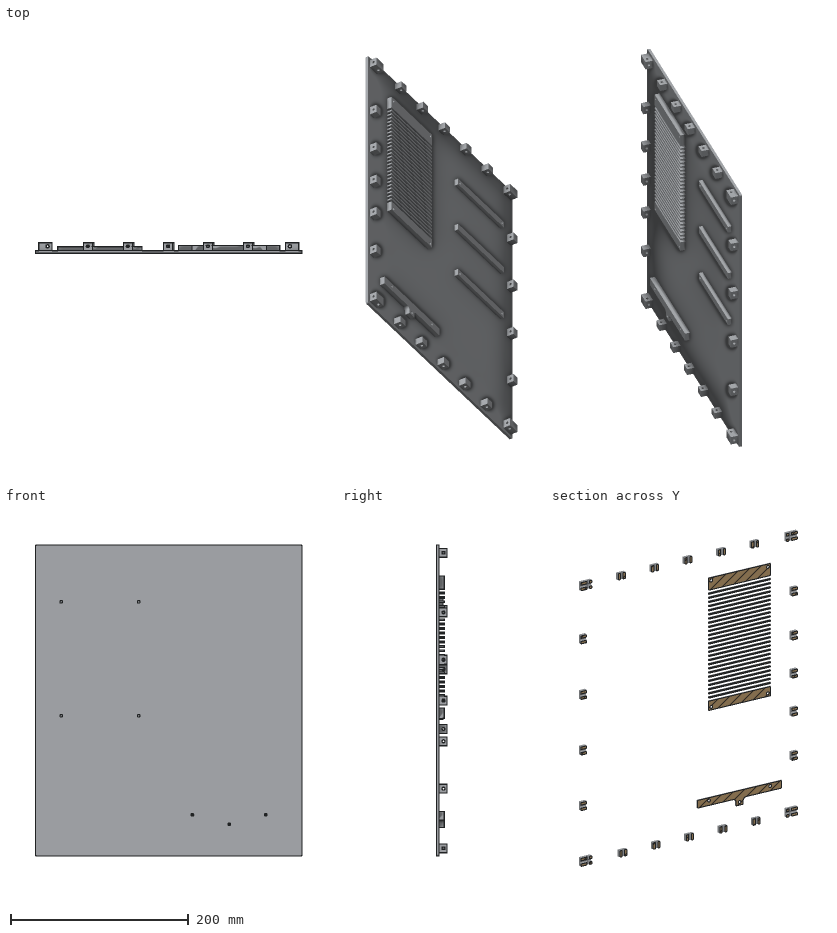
import cadquery as cq

panel_width = 300.0
panel_height = 350.0
overall_depth = 12.0
panel_thickness = 3.0
corner_radius = 2.0

block_rise = overall_depth - panel_thickness
block_width = 10.0
block_depth = 8.0
corner_block_length = 15.0
rim_margin = 4.0
block_hole_diameter = 3.0
block_hole_height = 5.0
block_hole_inset = block_width / 2
row_count = 5
row_length = 180.0
row_shift = 1.0
column_count = 4
column_length = 201.0
column_shift = 1.5
right_outer_block_z = 99.0
right_inner_pitch = 46.0

rail_length = 95.0
rail_width = 8.0
rail_rise = 4.5
rail_center_x = -77.5
rail_middle_z = 47.0
rail_pitch = 64.0

grille_width = 84.0
grille_top_z = 140.0
grille_bottom_z = -20.0
grille_center_x = 68.0
raised_rise = 6.0
grille_top_cap = 15.0
slot_count = 27
slot_height = 3.0
bar_height = 2.0

bracket_width = 114.0
bracket_top_z = -124.5
bracket_height = 9.8
tab_width = 10.0
tab_length = 8.5
tab_fillet = 4.0

screw_diameter = 3.0
screw_skin = 1.0
grille_skin = 1.45
pinhole_diameter = 1.0
screw_inset = 4.0
bracket_screw_spacing = 82.5

half_width = panel_width / 2
half_height = panel_height / 2
block_line_x = half_width - rim_margin
block_line_z = half_height - rim_margin


def evenly_spaced(length, count):
    """Positions spread evenly over a length centred on zero."""
    return [length * (index / (count - 1) - 0.5) for index in range(count)]


def raised_box(center_x, center_z, size_x, size_z, rise):
    """Box rising above the +Y face of the panel, sunk to its plain face so that the two fuse."""
    box = cq.Workplane("XY").box(size_x, panel_thickness + rise, size_z, centered=(True, False, True))
    return box.translate((center_x, 0, center_z))


def drill(center, direction, diameter, length):
    """Cylinder centred on a point, for cutting a hole along the given direction."""
    start = cq.Vector(*center) - cq.Vector(*direction) * (length / 2)
    return cq.Workplane(cq.Solid.makeCylinder(diameter / 2, length, start, cq.Vector(*direction)))


def drilled_block(center_x, center_z, size_x, size_z, holes):
    """Mounting block with through holes, each given as (x, z, direction)."""
    block = raised_box(center_x, center_z, size_x, size_z, block_rise)
    for x, z, direction in holes:
        center = (x, panel_thickness + block_hole_height, z)
        block = block.cut(drill(center, direction, block_hole_diameter, 2 * corner_block_length))
    return block


def corner_block(side_x, side_z):
    x = side_x * (block_line_x - corner_block_length / 2)
    z = side_z * (block_line_z - block_width / 2)
    hole_x = side_x * (block_line_x - corner_block_length + block_hole_inset)
    holes = [(hole_x, z, (0, 0, 1)), (x, z, (1, 0, 0))]
    return drilled_block(x, z, corner_block_length, block_width, holes)


def horizontal_edge_block(x, side_z):
    z = side_z * (block_line_z - block_depth / 2)
    return drilled_block(x, z, block_width, block_depth, [(x, z, (0, 0, 1))])


def vertical_edge_block(side_x, z):
    x = side_x * (block_line_x - block_depth / 2)
    return drilled_block(x, z, block_depth, block_width, [(x, z, (1, 0, 0))])


def rim_blocks():
    blocks = [corner_block(side_x, side_z) for side_x in (-1, 1) for side_z in (-1, 1)]

    for offset in evenly_spaced(row_length, row_count):
        blocks.append(horizontal_edge_block(offset - row_shift, 1))
        blocks.append(horizontal_edge_block(offset + row_shift, -1))

    for offset in evenly_spaced(column_length, column_count):
        blocks.append(vertical_edge_block(-1, offset + column_shift))

    inner = [step * right_inner_pitch for step in (-1, 0, 1)]
    for z in [-right_outer_block_z, *inner, right_outer_block_z]:
        blocks.append(vertical_edge_block(1, z))
    return blocks


def rails():
    return [
        raised_box(rail_center_x, rail_middle_z + step * rail_pitch, rail_length, rail_width, rail_rise)
        for step in (-1, 0, 1)
    ]


def grille():
    height = grille_top_z - grille_bottom_z
    body = raised_box(grille_center_x, grille_top_z - height / 2, grille_width, height, raised_rise)
    first_slot_z = grille_top_z - grille_top_cap - slot_height / 2
    for index in range(slot_count):
        z = first_slot_z - index * (slot_height + bar_height)
        slot = raised_box(grille_center_x, z, grille_width, slot_height, raised_rise)
        body = body.cut(slot)
    return body


def bracket():
    body_z = bracket_top_z - bracket_height / 2
    tab_height = bracket_height + tab_length
    tab_z = bracket_top_z - tab_height / 2
    body = raised_box(grille_center_x, body_z, bracket_width, bracket_height, raised_rise)
    tab = raised_box(grille_center_x, tab_z, tab_width, tab_height, raised_rise)
    corner_z = bracket_top_z - bracket_height
    inner_corners = cq.selectors.BoxSelector(
        (grille_center_x - tab_width, 0, corner_z - tab_length / 2),
        (grille_center_x + tab_width, overall_depth, corner_z + tab_length / 2),
    )
    return body.union(tab).edges("|Y").edges(inner_corners).fillet(tab_fillet)


def rail_screws():
    reach = rail_length / 2 - screw_inset
    rows = (rail_middle_z - rail_pitch, rail_middle_z + rail_pitch)
    return [(rail_center_x + side * reach, z) for side in (-1, 1) for z in rows]


def grille_screws():
    reach = grille_width / 2 - screw_inset
    rows = (grille_top_z - screw_inset, grille_bottom_z + screw_inset)
    return [(grille_center_x + side * reach, z) for side in (-1, 1) for z in rows]


def bracket_screws():
    bar_z = bracket_top_z - screw_inset
    tab_z = bracket_top_z - bracket_height - tab_length + screw_inset
    sides = [(grille_center_x + side * bracket_screw_spacing / 2, bar_z) for side in (-1, 1)]
    return [*sides, (grille_center_x, tab_z)]


def blind_hole(x, z, skin):
    """Hole open toward +Y, stopping short of the panel's plain face by the skin."""
    return drill((x, skin + overall_depth / 2, z), (0, 1, 0), screw_diameter, overall_depth)


result = (
    cq.Workplane("XY")
    .box(panel_width, panel_thickness, panel_height, centered=(True, False, True))
    .edges("|Y")
    .fillet(corner_radius)
)
for feature in [*rim_blocks(), *rails(), grille(), bracket()]:
    result = result.union(feature)
for x, z in [*rail_screws(), *bracket_screws()]:
    result = result.cut(blind_hole(x, z, screw_skin))
for x, z in grille_screws():
    result = result.cut(blind_hole(x, z, grille_skin))
for x, z in bracket_screws():
    result = result.cut(drill((x, 0, z), (0, 1, 0), pinhole_diameter, 2 * overall_depth))